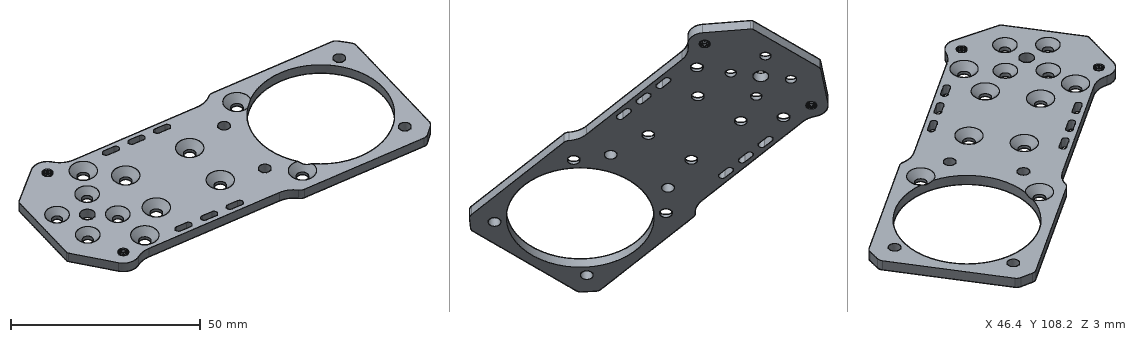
import cadquery as cq
import math

length = 108.2
thickness = 3.0

head_width = 45.0
head_chamfer = 3.8
head_corner_radius = 2.1
opening_diameter = 39.0
mount_offset = 16.0
shoulder_y = -19.6

body_width = 40.0
neck_radius = 7.0
ear_radius = 4.4
ear_y = -73.1
left_ear_x = -19.5
right_ear_x = 17.5

thread_minor_diameter = 2.5
thread_major_diameter = 2.9
thread_turns = 6

tail_left_x = -13.9
tail_right_x = 9.9
tail_corner_radius = 1.0

clearance_diameter = 3.4
lower_hole_x = 10.0
lower_hole_y = -23.9
center_hole_diameter = 4.1

countersink_angle = 90.0
large_screw_diameter = 3.4
large_sink_diameter = 7.5
small_screw_diameter = 2.9
small_sink_diameter = 6.5
inner_screw_x = 7.5
inner_screw_rows = (-36.3, -56.3)
outer_screw_x = 15.0
outer_screw_y = -64.7
screw_circle_radius = 8.0
screw_circle_start_angle = 58.0
screw_circle_count = 4

slot_x = 17.8
slot_middle_y = -46.3
slot_pitch = 8.0
slots_per_side = 3
slot_length = 5.0
slot_width = 2.0

head_half = head_width / 2
body_half = body_width / 2
tail_y = head_half - length


def on_circle(center, radius, angle):
    """Point on a circle at an angle in radians."""
    return center[0] + radius * math.cos(angle), center[1] + radius * math.sin(angle)


def line_and_arc(path, center, radius, start, end):
    """Draw a line to the start of an arc, then the arc."""
    path = path.lineTo(*on_circle(center, radius, start))
    return follow_arc(path, center, radius, start, end)


def follow_arc(path, center, radius, start, end):
    """Draw an arc that begins at the current point."""
    middle = on_circle(center, radius, (start + end) / 2)
    return path.threePointArc(middle, on_circle(center, radius, end))


def half_plate(ear_x, tail_x):
    """Plate on the +X side of the centre line; every arc is tangent to its neighbours."""
    quarter_turn = math.pi / 2
    half_turn = math.pi
    chamfer_angle = math.pi / 4
    path = cq.Workplane("XY").moveTo(0, tail_y).lineTo(0, head_half)

    corner_inset = head_chamfer + head_corner_radius * math.tan(chamfer_angle / 2)
    corner_center = head_half - head_corner_radius
    top_center = (head_half - corner_inset, corner_center)
    side_center = (corner_center, head_half - corner_inset)
    path = line_and_arc(path, top_center, head_corner_radius, quarter_turn, chamfer_angle)
    path = line_and_arc(path, side_center, head_corner_radius, chamfer_angle, 0)

    shoulder_center = (corner_center, shoulder_y)
    neck_center_x = body_half + neck_radius
    shoulder_reach = head_corner_radius + neck_radius
    shoulder_angle = math.acos((neck_center_x - corner_center) / shoulder_reach)
    neck_center = on_circle(shoulder_center, shoulder_reach, -shoulder_angle)
    path = line_and_arc(path, shoulder_center, head_corner_radius, 0, -shoulder_angle)
    path = follow_arc(path, neck_center, neck_radius, half_turn - shoulder_angle, half_turn)

    ear_center = (ear_x, ear_y)
    ear_reach = ear_radius + neck_radius
    ear_angle = math.acos((neck_center_x - ear_x) / ear_reach)
    waist_center = on_circle(ear_center, ear_reach, ear_angle)
    path = line_and_arc(path, waist_center, neck_radius, half_turn, half_turn + ear_angle)

    run = ear_x - tail_x
    rise = ear_y - tail_y
    slope_angle = math.atan2(rise, run) - math.asin(ear_radius / math.hypot(run, rise))
    touch_angle = slope_angle - quarter_turn
    path = follow_arc(path, ear_center, ear_radius, ear_angle, touch_angle)

    tail_center_x = tail_x - tail_corner_radius * math.tan(slope_angle / 2)
    tail_center = (tail_center_x, tail_y + tail_corner_radius)
    path = line_and_arc(path, tail_center, tail_corner_radius, touch_angle, -quarter_turn)
    return path.close().extrude(thickness)


def drill(plate, points, diameter):
    """Cut plain round holes through the plate."""
    return plate.faces(">Z").workplane(origin=(0, 0, 0)).pushPoints(points).hole(diameter)


def countersink(plate, points, diameter, sink_diameter):
    """Cut countersunk holes that open towards +Z."""
    top = plate.faces(">Z").workplane(origin=(0, 0, 0))
    return top.pushPoints(points).cskHole(diameter, sink_diameter, countersink_angle)


def thread_core():
    """Solid that fills a threaded hole: a rod whose side zigzags between the two diameters."""
    minor_radius = thread_minor_diameter / 2
    major_radius = thread_major_diameter / 2
    pitch = thickness / thread_turns
    profile = [(0, 0), (major_radius, 0)]
    for turn in range(thread_turns):
        profile.append((minor_radius, (turn + 0.5) * pitch))
        profile.append((major_radius, (turn + 1) * pitch))
    profile.append((0, thickness))
    return cq.Workplane("XZ").polyline(profile).close().revolve(360, (0, 0), (0, 1))


right_half = half_plate(right_ear_x, tail_right_x)
left_half = half_plate(-left_ear_x, -tail_left_x).mirror("YZ")
plate = right_half.union(left_half).clean()

ring_center = (0, ear_y)
clearance_points = [
    (-mount_offset, mount_offset),
    (mount_offset, mount_offset),
    (-lower_hole_x, lower_hole_y),
    (lower_hole_x, lower_hole_y),
]
plate = drill(plate, clearance_points, clearance_diameter)
plate = drill(plate, [ring_center], center_hole_diameter)

for ear_x in (left_ear_x, right_ear_x):
    plate = plate.cut(thread_core().translate((ear_x, ear_y, 0)))

large_pairs = [(mount_offset, -mount_offset), (outer_screw_x, outer_screw_y)]
large_pairs += [(inner_screw_x, y) for y in inner_screw_rows]
large_points = [(side * x, y) for x, y in large_pairs for side in (-1, 1)]
plate = countersink(plate, large_points, large_screw_diameter, large_sink_diameter)

small_points = []
for index in range(screw_circle_count):
    angle = math.radians(screw_circle_start_angle) + index * 2 * math.pi / screw_circle_count
    small_points.append(on_circle(ring_center, screw_circle_radius, angle))
plate = countersink(plate, small_points, small_screw_diameter, small_sink_diameter)

plate = drill(plate, [(0, 0)], opening_diameter)

slot_points = []
for index in range(slots_per_side):
    y = slot_middle_y + (index - (slots_per_side - 1) / 2) * slot_pitch
    slot_points += [(-slot_x, y), (slot_x, y)]
slots = cq.Workplane("XY").pushPoints(slot_points).slot2D(slot_length, slot_width, 90).extrude(thickness)

result = plate.cut(slots)